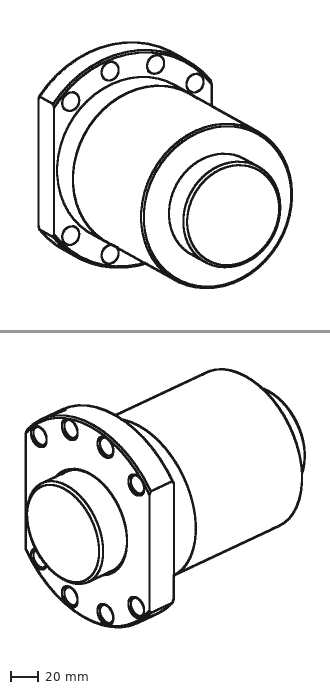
import cadquery as cq

SHAFT_LENGTH = 210.0
SHAFT_DIAMETER = 80.0
SHAFT_CHAMFER = 2.0

NUT_START = 25.0
NUT_END = SHAFT_LENGTH - NUT_START
FLANGE_THICKNESS = 25.0
FLANGE_DIAMETER = 165.0
FLANGE_WIDTH = 130.0
FLANGE_END = NUT_START + FLANGE_THICKNESS
BARREL_DIAMETER = 124.5
PILOT_DIAMETER = 125.0
PILOT_LENGTH = 25.0
NUT_CHAMFER = 1.5

BOLT_CIRCLE_RADIUS = 72.5
BOLT_ANGLES = [side + offset for side in (0, 180) for offset in (-45, -15, 15, 45)]
BOLT_HOLE_DIAMETER = 14.0
BOLT_HOLE_CHAMFER = 1.3

OIL_HOLE_DIAMETER = 7.5
OIL_HOLE_ANGLE = 30


def cylinder(diameter, start, length):
    """Cylinder about the X axis."""
    return cq.Workplane("YZ", origin=(start, 0, 0)).circle(diameter / 2).extrude(length)


def turned_about_x(tool, angle):
    """Swing a tool from +Z toward +Y by the given angle."""
    return tool.rotate((0, 0, 0), (1, 0, 0), -angle)


def make_shaft():
    return cylinder(SHAFT_DIAMETER, 0, SHAFT_LENGTH).faces("<X or >X").chamfer(SHAFT_CHAMFER)


def make_flange():
    """Chamfered disc trimmed by two flats."""
    disc = cylinder(FLANGE_DIAMETER, NUT_START, FLANGE_THICKNESS)
    disc = disc.faces("<X or >X").chamfer(NUT_CHAMFER)
    flats = cq.Workplane("XY", origin=(NUT_START, 0, 0)).box(
        FLANGE_THICKNESS, FLANGE_WIDTH, FLANGE_DIAMETER, centered=(False, True, True)
    )
    return disc.intersect(flats)


def make_barrel():
    """Pilot followed by the slightly smaller, chamfered main barrel."""
    barrel_start = FLANGE_END + PILOT_LENGTH
    pilot = cylinder(PILOT_DIAMETER, FLANGE_END, PILOT_LENGTH)
    barrel = cylinder(BARREL_DIAMETER, barrel_start, NUT_END - barrel_start)
    return pilot.union(barrel.faces(">X").chamfer(NUT_CHAMFER))


def chamfered_hole(diameter, length, chamfer):
    """Cutter along X from the flange face, with a chamfered mouth."""
    radius = diameter / 2
    profile = (
        cq.Workplane("XY", origin=(NUT_START, 0, 0))
        .moveTo(0, 0)
        .lineTo(0, radius + chamfer)
        .lineTo(chamfer, radius)
        .lineTo(length, radius)
        .lineTo(length, 0)
        .close()
    )
    return profile.revolve(360, (0, 0, 0), (1, 0, 0))


def make_nut():
    nut = make_flange().union(make_barrel())
    nut = nut.cut(chamfered_hole(SHAFT_DIAMETER, NUT_END - NUT_START, NUT_CHAMFER))

    bolt_hole = chamfered_hole(BOLT_HOLE_DIAMETER, FLANGE_THICKNESS, BOLT_HOLE_CHAMFER)
    bolt_hole = bolt_hole.translate((0, 0, BOLT_CIRCLE_RADIUS))
    for angle in BOLT_ANGLES:
        nut = nut.cut(turned_about_x(bolt_hole, angle))

    flange_middle = NUT_START + FLANGE_THICKNESS / 2
    oil_hole = (
        cq.Workplane("XY", origin=(flange_middle, 0, 0))
        .circle(OIL_HOLE_DIAMETER / 2)
        .extrude(FLANGE_DIAMETER / 2)
    )
    return nut.cut(turned_about_x(oil_hole, OIL_HOLE_ANGLE))


shaft = make_shaft()
nut = make_nut()

result = cq.Compound.makeCompound([shaft.val(), nut.solids().val()])